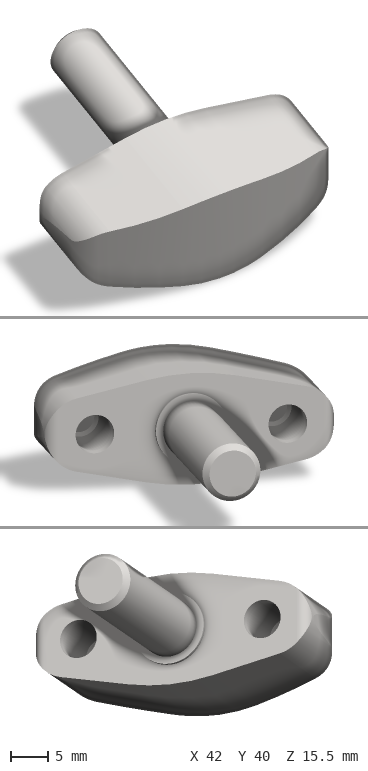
import cadquery as cq
import math

STUD_DIAMETER = 8.0
STUD_LENGTH = 25.0
STUD_CHAMFER = 0.8
COLLAR_DIAMETER = 10.0
COLLAR_THICKNESS = 0.5

GRIP_LENGTH = 40.0
GRIP_HEIGHT = 15.5
END_RADIUS = 5.2
CROWN_RADIUS = 30.0

GRIP_DEPTH = 16.5
DOME_RADIUS = 40.0
DRAFT_ANGLE = 3.0
END_OVERHANG = 0.1
FACE_EDGE_RADIUS = 1.6
DOME_EDGE_RADIUS = 4.0

HOLE_DIAMETER = 5.33
HOLE_DEPTH = 10.0
HOLE_FLOOR_CHAMFER = 0.5
HOLE_OFFSET = GRIP_LENGTH / 3

FACE_X = COLLAR_THICKNESS
BACK_X = FACE_X + GRIP_DEPTH


def grip_outline():
    """Prism along X with the closed, tangent-arc outline of the grip."""
    end_center = GRIP_LENGTH / 2 - END_RADIUS
    crown_top = GRIP_HEIGHT / 2
    crown_center = crown_top - CROWN_RADIUS
    flank_angle = math.atan2(end_center, -crown_center) - math.acos(
        (CROWN_RADIUS - END_RADIUS) / math.hypot(end_center, crown_center)
    )
    crown_y = CROWN_RADIUS * math.sin(flank_angle)
    crown_z = crown_center + CROWN_RADIUS * math.cos(flank_angle)
    end_y = end_center + END_RADIUS * math.sin(flank_angle)
    end_z = END_RADIUS * math.cos(flank_angle)
    return (
        cq.Workplane("YZ", origin=(FACE_X, 0, 0))
        .moveTo(-crown_y, crown_z)
        .threePointArc((0, crown_top), (crown_y, crown_z))
        .lineTo(end_y, end_z)
        .threePointArc((GRIP_LENGTH / 2, 0), (end_y, -end_z))
        .lineTo(crown_y, -crown_z)
        .threePointArc((0, -crown_top), (-crown_y, -crown_z))
        .lineTo(-end_y, -end_z)
        .threePointArc((-GRIP_LENGTH / 2, 0), (-end_y, end_z))
        .close()
        .extrude(GRIP_DEPTH)
    )


def grip_profile():
    """Prism along Z with the domed, drafted and rounded profile of the grip."""
    face_y = GRIP_LENGTH / 2 + END_OVERHANG
    draft = math.radians(DRAFT_ANGLE)
    dome_center_x = BACK_X - DOME_RADIUS
    end_distance = face_y * math.cos(draft) + (FACE_X - dome_center_x) * math.sin(draft)
    half_chord = math.sqrt(DOME_RADIUS**2 - end_distance**2)
    corner_x = dome_center_x + end_distance * math.sin(draft) + half_chord * math.cos(draft)
    corner_y = end_distance * math.cos(draft) - half_chord * math.sin(draft)
    prism = (
        cq.Workplane("XY")
        .moveTo(FACE_X, -face_y)
        .lineTo(corner_x, -corner_y)
        .threePointArc((BACK_X, 0), (corner_x, corner_y))
        .lineTo(FACE_X, face_y)
        .close()
        .extrude(GRIP_HEIGHT, both=True)
    )
    prism = prism.edges("|Z").edges("<X").fillet(FACE_EDGE_RADIUS)
    return prism.edges("|Z").edges(">X").fillet(DOME_EDGE_RADIUS)


def blind_hole(y):
    """Cutter for one blind hole in the grip face, chamfered around its floor."""
    return (
        cq.Workplane("YZ", origin=(FACE_X, y, 0))
        .circle(HOLE_DIAMETER / 2)
        .extrude(HOLE_DEPTH)
        .faces(">X")
        .chamfer(HOLE_FLOOR_CHAMFER)
    )


def stud():
    """Plain stud with a chamfered tip and the collar at its root."""
    shank = (
        cq.Workplane("YZ", origin=(-STUD_LENGTH, 0, 0))
        .circle(STUD_DIAMETER / 2)
        .extrude(STUD_LENGTH)
        .faces("<X")
        .chamfer(STUD_CHAMFER)
    )
    collar = cq.Workplane("YZ").circle(COLLAR_DIAMETER / 2).extrude(COLLAR_THICKNESS)
    return shank.union(collar)


grip = grip_outline().intersect(grip_profile())
for side in (-1, 1):
    grip = grip.cut(blind_hole(side * HOLE_OFFSET))

result = grip.union(stud())